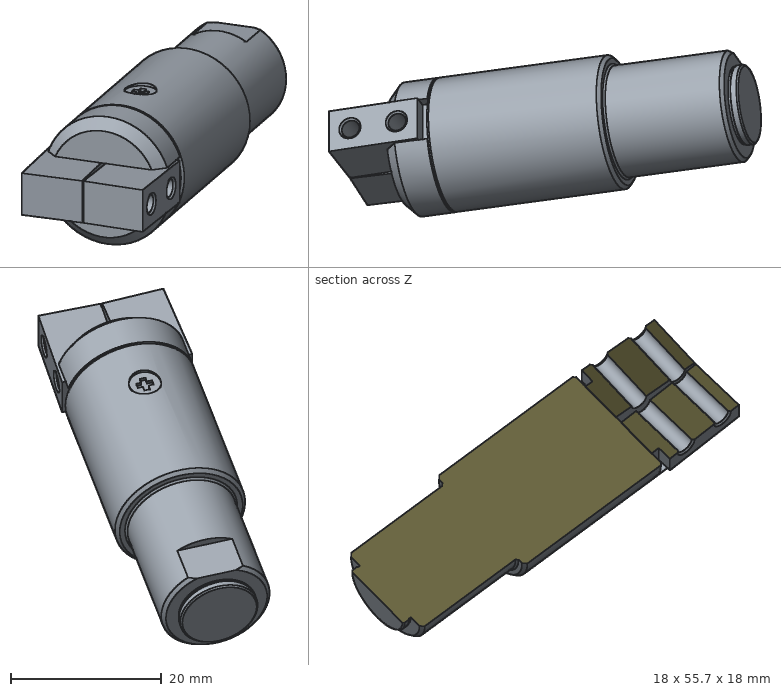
import cadquery as cq
import math

TOTAL_LENGTH = 55.7

STUB_LENGTH = 1.4
SHANK_REAR = TOTAL_LENGTH - STUB_LENGTH
FLAT_FRONT = 48.8
BARREL_REAR = 37.7
BARREL_FRONT = 13.6
COLLAR_FRONT = 7.6

BARREL_RADIUS = 18.0 / 2
SHANK_RADIUS = 15.0 / 2
STUB_RADIUS = 10.7 / 2
STUB_NECK_RADIUS = 10.45 / 2
STUB_NECK_LENGTH = 0.35
STUB_CHAMFER = 0.2
EDGE_CHAMFER = 0.5
SHOULDER_CHAMFER = 0.3
BARREL_FRONT_CHAMFER = 0.35
COLLAR_CHAMFER = 1.5

FLAT_HEIGHT = 6.45

SEAT_Y = 20.7
SEAT_DIAMETER = 4.3
SEAT_FLOOR_Z = 8.6
CROSS_SPAN = 2.15
CROSS_ARM_WIDTH = 0.8
CROSS_DEPTH = 0.45

JAW_THICKNESS = 5.9
JAW_WIDTH = 8.5
JAW_TILT = 1.7
JAW_BACK = 12.35
JAW_NECK_INSET = 2.2
HOLE_DIAMETER = 2.45
HOLE_MOUTH_DIAMETER = 3.0
HOLE_CHAMFER = (HOLE_MOUTH_DIAMETER - HOLE_DIAMETER) / 2
HOLE_DISTANCES = (2.95, 9.45)

JAW_LENGTH = JAW_BACK / math.cos(math.radians(JAW_TILT))


def make_revolved_housing():
    """Stub, shank, barrel and collar turned about the Y axis."""
    profile = [
        (0, COLLAR_FRONT),
        (BARREL_RADIUS - COLLAR_CHAMFER, COLLAR_FRONT),
        (BARREL_RADIUS, COLLAR_FRONT + COLLAR_CHAMFER),
        (BARREL_RADIUS, BARREL_FRONT),
        (BARREL_RADIUS - BARREL_FRONT_CHAMFER, BARREL_FRONT),
        (BARREL_RADIUS, BARREL_FRONT + BARREL_FRONT_CHAMFER),
        (BARREL_RADIUS, BARREL_REAR - EDGE_CHAMFER),
        (BARREL_RADIUS - EDGE_CHAMFER, BARREL_REAR),
        (SHANK_RADIUS + SHOULDER_CHAMFER, BARREL_REAR),
        (SHANK_RADIUS, BARREL_REAR + SHOULDER_CHAMFER),
        (SHANK_RADIUS, SHANK_REAR - EDGE_CHAMFER),
        (SHANK_RADIUS - EDGE_CHAMFER, SHANK_REAR),
        (STUB_NECK_RADIUS, SHANK_REAR),
        (STUB_NECK_RADIUS, SHANK_REAR + STUB_NECK_LENGTH),
        (STUB_RADIUS, SHANK_REAR + STUB_NECK_LENGTH),
        (STUB_RADIUS, TOTAL_LENGTH - STUB_CHAMFER),
        (STUB_RADIUS - STUB_CHAMFER, TOTAL_LENGTH),
        (0, TOTAL_LENGTH),
    ]
    return cq.Workplane("XY").polyline(profile).close().revolve(360, (0, 0, 0), (0, 1, 0))


def make_shank_flat_cutter():
    """Removes the top of the shank behind FLAT_FRONT."""
    return cq.Workplane("XY").box(
        2 * SHANK_RADIUS, TOTAL_LENGTH - FLAT_FRONT, SHANK_RADIUS, centered=(True, False, False)
    ).translate((0, FLAT_FRONT, FLAT_HEIGHT))


def make_screw_seat_cutter():
    """Round seat with a cross recess in its floor."""
    floor = cq.Workplane("XY", origin=(0, SEAT_Y, SEAT_FLOOR_Z))
    seat = floor.circle(SEAT_DIAMETER / 2).extrude(BARREL_RADIUS - SEAT_FLOOR_Z)
    arm_x = floor.rect(CROSS_SPAN, CROSS_ARM_WIDTH).extrude(-CROSS_DEPTH)
    arm_y = floor.rect(CROSS_ARM_WIDTH, CROSS_SPAN).extrude(-CROSS_DEPTH)
    return seat.union(arm_x).union(arm_y)


def make_jaw_slot():
    """Space across the collar that holds the jaws."""
    return cq.Workplane("XY").box(
        2 * BARREL_RADIUS, BARREL_FRONT, JAW_THICKNESS, centered=(True, False, True)
    )


def make_housing():
    housing = make_revolved_housing().cut(make_shank_flat_cutter())
    return housing.cut(make_screw_seat_cutter()).cut(make_jaw_slot())


def make_left_jaw():
    """Block with a narrower neck, tilted so that its tip leans to the centre."""
    block = cq.Workplane("XY").box(JAW_WIDTH, JAW_LENGTH, JAW_THICKNESS, centered=(False, False, True))
    for distance in HOLE_DISTANCES:
        mouth = cq.Workplane("YZ", origin=(0, distance, 0))
        hole = mouth.circle(HOLE_DIAMETER / 2).extrude(JAW_WIDTH)
        chamfer = cq.Workplane(cq.Solid.makeCone(
            HOLE_MOUTH_DIAMETER / 2, HOLE_DIAMETER / 2, HOLE_CHAMFER,
            cq.Vector(0, distance, 0), cq.Vector(1, 0, 0),
        ))
        block = block.cut(hole).cut(chamfer)
    neck = cq.Workplane("XY").box(
        JAW_WIDTH - JAW_NECK_INSET, BARREL_FRONT, JAW_THICKNESS, centered=(False, False, True)
    ).translate((JAW_NECK_INSET, JAW_LENGTH / 2, 0))
    neck = neck.cut(cq.Workplane("XY").box(
        2 * JAW_WIDTH, JAW_LENGTH, JAW_THICKNESS, centered=(True, False, True)
    ))
    tip_x = -BARREL_RADIUS + JAW_LENGTH * math.sin(math.radians(JAW_TILT))
    jaw = block.union(neck).rotate((0, 0, 0), (0, 0, 1), JAW_TILT).translate((tip_x, 0, 0))
    return jaw.intersect(make_jaw_slot())


def make_jaws():
    """The two jaws, mirror images of each other."""
    left = make_left_jaw()
    return [left.solids().val(), left.mirror("YZ").solids().val()]


housing = make_housing()
jaws = make_jaws()

result = cq.Compound.makeCompound([housing.solids().val(), *jaws])